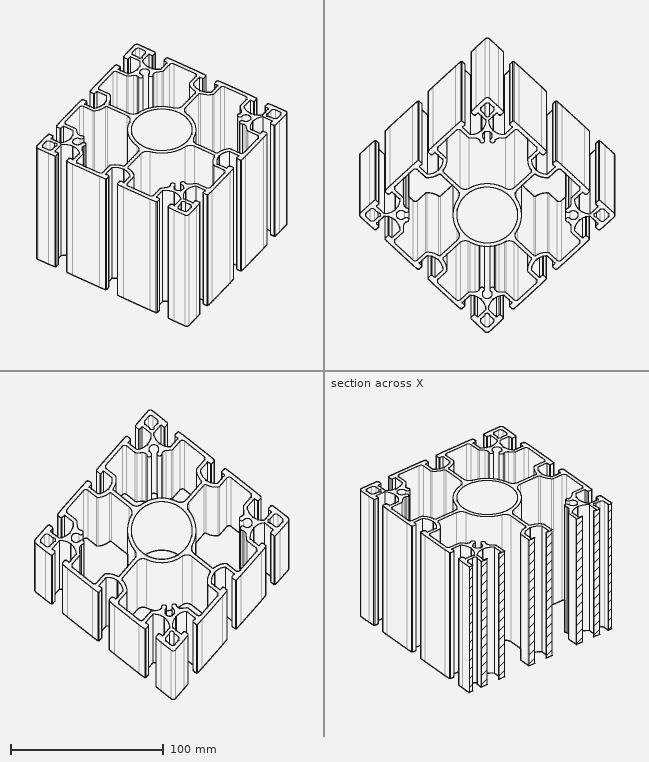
import math

import cadquery as cq

MODULE = 40.0
MODULES = 3
SIDE = MODULE * MODULES
HALF = SIDE / 2
LENGTH = 100.0
CORNER_RADIUS = 2.0
SLOT_POSITIONS = [MODULE * (i + 0.5) for i in range(MODULES)]

SLOT_OPENING = 8.5
SLOT_WIDTH = 14.5
LIP_DEPTH = 4.0
SLOT_WALL_DEPTH = 11.5
SLOT_DEPTH = 14.5
LIP_RADIUS = 0.5
LIP_TAPER = 0.15
LIP_TAPER_START = 9.45
GROOVE_WIDTH = 0.5
GROOVE_DEPTH = 0.3

SKIN = 2.75
SLOT_WALL = 2.4
FLOOR_WALL = 2.6
WEB = 2.5
POCKET_RADIUS = 2.0
BEND_RADIUS = 1.5
WEB_FILLET = 1.0

BORE_RADIUS = 20.0
TUBE_RADIUS = 22.5
TUBE_FILLET = 5.0

PORT = MODULE / 2
PORT_RADIUS = 3.2
FINGER_RADIUS = 1.6
FINGER_NECK = 25.8
NECK_FILLET = 3.0
SHOULDER_DEPTH = 12.6

CELL_INNER = 10.3
RELIEF_CENTRE = 9.3
RELIEF_RADIUS = 1.5

TO_CENTRE = 45
TO_CORNER = 180 + TO_CENTRE

SLOT_RISE = SLOT_DEPTH - SLOT_WALL_DEPTH
FLOOR_RADIUS = ((SLOT_WIDTH / 2) ** 2 + SLOT_RISE ** 2) / (2 * SLOT_RISE)
FLOOR_CENTRE_DEPTH = SLOT_DEPTH - FLOOR_RADIUS


def on_circle(cx, cy, radius, degrees):
    angle = math.radians(degrees)
    return (cx + radius * math.cos(angle), cy + radius * math.sin(angle))


def leg(hypotenuse, other):
    return math.sqrt(hypotenuse ** 2 - other ** 2)


def extrude_outline(outline):
    return outline.close().extrude(LENGTH)


def at_corner():
    """Workplane whose origin is the corner of the profile at (-X, -Y)."""
    return cq.Workplane("XY", origin=(-HALF, -HALF, 0))


def fillet_at(body, x, y, radius):
    """Round the upright edge that stands at (x, y) in corner coordinates."""
    middle = (x - HALF, y - HALF, LENGTH / 2)
    edge = cq.selectors.NearestToPointSelector(middle)
    return body.edges("|Z").edges(edge).fillet(radius)


def turned(body, quarter):
    return body.rotate((0, 0, 0), (0, 0, 1), 90 * quarter)


def blank():
    return (
        cq.Workplane("XY")
        .rect(SIDE, SIDE)
        .extrude(LENGTH)
        .edges("|Z")
        .fillet(CORNER_RADIUS)
    )


def slot_cutter(position):
    mouth = SLOT_OPENING / 2
    wall = SLOT_WIDTH / 2
    groove = GROOVE_WIDTH / 2
    groove_edge = FLOOR_CENTRE_DEPTH + leg(FLOOR_RADIUS, groove)
    wall_angle = math.degrees(math.atan2(SLOT_WALL_DEPTH - FLOOR_CENTRE_DEPTH, wall))
    mid_angle = (wall_angle + 90) / 2
    mid_x, mid_y = on_circle(0, FLOOR_CENTRE_DEPTH, FLOOR_RADIUS, mid_angle)
    outline = (
        at_corner()
        .center(position, 0)
        .moveTo(-LIP_TAPER_START, 0)
        .lineTo(-mouth - LIP_RADIUS, LIP_TAPER)
        .radiusArc((-mouth, LIP_TAPER + LIP_RADIUS), LIP_RADIUS)
        .lineTo(-mouth, LIP_DEPTH - LIP_RADIUS)
        .radiusArc((-mouth - LIP_RADIUS, LIP_DEPTH), LIP_RADIUS)
        .lineTo(-wall, LIP_DEPTH)
        .lineTo(-wall, SLOT_WALL_DEPTH)
        .threePointArc((-mid_x, mid_y), (-groove, groove_edge))
        .lineTo(0, SLOT_DEPTH + GROOVE_DEPTH)
        .lineTo(groove, groove_edge)
        .threePointArc((mid_x, mid_y), (wall, SLOT_WALL_DEPTH))
        .lineTo(wall, LIP_DEPTH)
        .lineTo(mouth + LIP_RADIUS, LIP_DEPTH)
        .radiusArc((mouth, LIP_DEPTH - LIP_RADIUS), LIP_RADIUS)
        .lineTo(mouth, LIP_TAPER + LIP_RADIUS)
        .radiusArc((mouth + LIP_RADIUS, LIP_TAPER), LIP_RADIUS)
        .lineTo(LIP_TAPER_START, 0)
    )
    return extrude_outline(outline)


def corner_cell_cutter():
    size = CELL_INNER - SKIN
    middle = (CELL_INNER + SKIN) / 2
    cell = (
        at_corner()
        .center(middle, middle)
        .rect(size, size)
        .extrude(LENGTH)
        .edges("|Z")
        .fillet(POCKET_RADIUS)
    )
    relief = (
        at_corner()
        .center(RELIEF_CENTRE, RELIEF_CENTRE)
        .circle(RELIEF_RADIUS)
        .extrude(LENGTH)
    )
    return cell.union(relief)


def half_pocket_cutter():
    """Half of one quadrant's large pocket, on one side of the diagonal."""
    near_wall = PORT + SLOT_WIDTH / 2 + SLOT_WALL
    far_wall = HALF - SLOT_WIDTH / 2 - SLOT_WALL
    web_face = HALF - WEB / 2

    finger_x = PORT + PORT_RADIUS + FINGER_RADIUS
    port_diagonal = on_circle(PORT, PORT, PORT_RADIUS, TO_CORNER)
    port_mid = on_circle(PORT, PORT, PORT_RADIUS, (TO_CORNER + 360) / 2)
    finger_end = PORT - leg(FINGER_RADIUS, FINGER_NECK - finger_x)
    neck_angle = math.degrees(math.asin((finger_end - PORT) / FINGER_RADIUS))
    finger_mid = on_circle(finger_x, PORT, FINGER_RADIUS, neck_angle / 2)
    shoulder_end = SHOULDER_DEPTH + near_wall - FINGER_NECK

    outer_radius = FLOOR_RADIUS + FLOOR_WALL
    wall_end = FLOOR_CENTRE_DEPTH + leg(outer_radius, HALF - far_wall)
    web_start = FLOOR_CENTRE_DEPTH + leg(outer_radius, WEB / 2)
    arc_x = (far_wall + web_face) / 2
    arc_mid = (arc_x, FLOOR_CENTRE_DEPTH + leg(outer_radius, HALF - arc_x))

    fillet_x = web_face - TUBE_FILLET
    fillet_y = HALF - leg(TUBE_RADIUS + TUBE_FILLET, HALF - fillet_x)
    tube_angle = math.degrees(math.atan2(HALF - fillet_y, HALF - fillet_x))
    fillet_mid = on_circle(fillet_x, fillet_y, TUBE_FILLET, tube_angle / 2)
    fillet_end = on_circle(HALF, HALF, TUBE_RADIUS, 180 + tube_angle)
    tube_mid = on_circle(HALF, HALF, TUBE_RADIUS, 180 + (tube_angle + TO_CENTRE) / 2)
    tube_diagonal = on_circle(HALF, HALF, TUBE_RADIUS, TO_CORNER)

    outline = (
        at_corner()
        .moveTo(*port_diagonal)
        .threePointArc(port_mid, (PORT + PORT_RADIUS, PORT))
        .threePointArc((finger_x, PORT + FINGER_RADIUS), (finger_x + FINGER_RADIUS, PORT))
        .threePointArc(finger_mid, (FINGER_NECK, finger_end))
        .lineTo(FINGER_NECK, shoulder_end)
        .lineTo(near_wall, SHOULDER_DEPTH)
        .lineTo(near_wall, SKIN + POCKET_RADIUS)
        .radiusArc((near_wall + POCKET_RADIUS, SKIN), -POCKET_RADIUS)
        .lineTo(far_wall - POCKET_RADIUS, SKIN)
        .radiusArc((far_wall, SKIN + POCKET_RADIUS), -POCKET_RADIUS)
        .lineTo(far_wall, wall_end)
        .threePointArc(arc_mid, (web_face, web_start))
        .lineTo(web_face, fillet_y)
        .threePointArc(fillet_mid, fillet_end)
        .threePointArc(tube_mid, tube_diagonal)
    )
    half = extrude_outline(outline)
    half = fillet_at(half, FINGER_NECK, shoulder_end, NECK_FILLET)
    half = fillet_at(half, near_wall, SHOULDER_DEPTH, BEND_RADIUS)
    half = fillet_at(half, far_wall, wall_end, BEND_RADIUS)
    return fillet_at(half, web_face, web_start, WEB_FILLET)


def pocket_cutter():
    half = half_pocket_cutter()
    other_half = turned(half.mirror("YZ"), -1)
    return half.union(other_half, clean=True)


def bore_cutter():
    return cq.Workplane("XY").circle(BORE_RADIUS).extrude(LENGTH)


pocket = pocket_cutter()
corner_cell = corner_cell_cutter()
slots = [slot_cutter(position) for position in SLOT_POSITIONS]

result = blank().cut(bore_cutter())
for quarter in range(4):
    for cutter in [pocket, corner_cell] + slots:
        result = result.cut(turned(cutter, quarter))